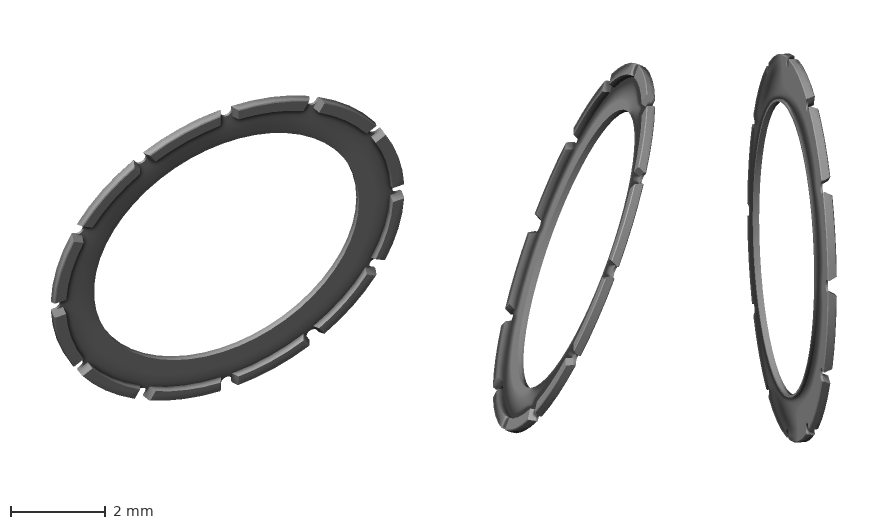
import cadquery as cq

outer_radius = 4.1
bore_radius = 3.1
disc_width = 0.2

collar_wall = 0.05
collar_height = 0.08
collar_radius = bore_radius + collar_wall

web_thickness = 0.05
rim_wall = 0.27
rim_inner_radius = outer_radius - rim_wall
edge_chamfer = 0.02

notch_count = 12
notch_depth = 0.22
notch_width = 0.26
flare_width = 0.42
overrun = 0.1


def ring_body():
    """Collar, web and rim revolved about X; sketch points are (X, radius)."""
    profile = (
        cq.Workplane("XY")
        .moveTo(-collar_height, bore_radius)
        .lineTo(-collar_height, collar_radius)
        .lineTo(0, collar_radius)
        .lineTo(0, outer_radius - edge_chamfer)
        .lineTo(edge_chamfer, outer_radius)
        .lineTo(disc_width - edge_chamfer, outer_radius)
        .lineTo(disc_width, outer_radius - edge_chamfer)
        .lineTo(disc_width, rim_inner_radius)
        .lineTo(web_thickness, rim_inner_radius)
        .lineTo(web_thickness, bore_radius)
        .close()
    )
    return profile.revolve(360, (0, 0, 0), (1, 0, 0))


def round_slot():
    """Round-bottomed slot through the whole disc, open at the +Y edge."""
    half_width = notch_width / 2
    bottom = outer_radius - notch_depth
    arc_start = bottom + half_width
    top = outer_radius + overrun
    return (
        cq.Workplane("YZ", origin=(-overrun, 0, 0))
        .moveTo(top, -half_width)
        .lineTo(arc_start, -half_width)
        .threePointArc((bottom, 0), (arc_start, half_width))
        .lineTo(top, half_width)
        .close()
        .extrude(disc_width + 2 * overrun)
    )


def flared_gap():
    """Gap across the rim wall at +Y, widening from the web to the rim top."""
    floor_half = notch_width / 2
    top_half = flare_width / 2
    return (
        cq.Workplane("XZ", origin=(0, outer_radius + overrun, 0))
        .moveTo(web_thickness, -floor_half)
        .lineTo(disc_width, -top_half)
        .lineTo(disc_width + overrun, -top_half)
        .lineTo(disc_width + overrun, top_half)
        .lineTo(disc_width, top_half)
        .lineTo(web_thickness, floor_half)
        .close()
        .extrude(rim_wall + 2 * overrun)
    )


result = ring_body()
notch = round_slot().union(flared_gap())
for position in range(notch_count):
    angle = position * 360 / notch_count
    result = result.cut(notch.rotate((0, 0, 0), (1, 0, 0), angle))